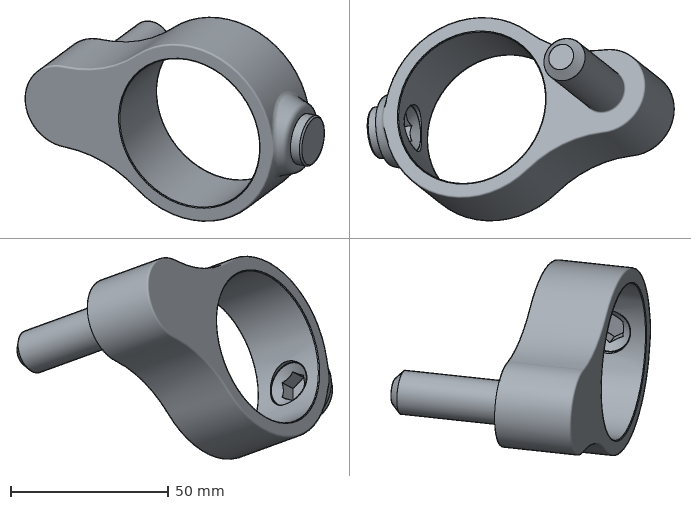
import cadquery as cq
import math


width = 25.5
ring_radius = 60.0 / 2
bore_radius = 25.1
lobe_radius = 14.0
lobe_x = -45.3
flank_straight = 0.8
edge_round = 0.6
bore_chamfer = 0.3

peg_radius = 14.1 / 2
peg_length = 37.0
peg_chamfer = 2.8
peg_root_round = 0.6

boss_face_x = 33.9
boss_face_radius = 11.0
boss_taper = 20.0
boss_start_x = 26.2
boss_face_round = 1.9
boss_root_round = 1.7

head_radius = 8.2
shank_radius = 7.5
screw_tip_x = 37.7
screw_inner_x = 25.4
head_chamfer = 0.6
socket_flats = 8.7
socket_depth = 7.3
countersink_radius = 7.3
countersink_half_angle = 50.0

half_width = width / 2
select_margin = 0.1


def arm_outline(start_y):
    """Closed outline in the XZ plane, with flanks tangent to the lobe and the ring."""
    flank_x = lobe_x + flank_straight
    flank_radius = (flank_x**2 + lobe_radius**2 - ring_radius**2) / (2 * (ring_radius - lobe_radius))
    centre_z = lobe_radius + flank_radius
    reach = ring_radius + flank_radius
    join_x = flank_x * ring_radius / reach
    join_z = centre_z * ring_radius / reach
    half_angle = math.atan2(-flank_x, centre_z) / 2
    mid_x = flank_x + flank_radius * math.sin(half_angle)
    mid_z = centre_z - flank_radius * math.cos(half_angle)
    return (
        cq.Workplane("XZ", origin=(0, start_y, 0))
        .moveTo(lobe_x, lobe_radius)
        .lineTo(flank_x, lobe_radius)
        .threePointArc((mid_x, mid_z), (join_x, join_z))
        .threePointArc((ring_radius, 0), (join_x, -join_z))
        .threePointArc((mid_x, -mid_z), (flank_x, -lobe_radius))
        .lineTo(lobe_x, -lobe_radius)
        .threePointArc((lobe_x - lobe_radius, 0), (lobe_x, lobe_radius))
        .close()
    )


def make_boss():
    """Truncated cone that narrows toward its outer face."""
    start_radius = boss_face_radius + (boss_face_x - boss_start_x) * math.tan(math.radians(boss_taper))
    cone = (
        cq.Workplane("XY")
        .moveTo(boss_start_x, 0)
        .lineTo(boss_start_x, start_radius)
        .lineTo(boss_face_x, boss_face_radius)
        .lineTo(boss_face_x, 0)
        .close()
        .revolve(360, (0, 0, 0), (1, 0, 0))
    )
    return cone.faces(">X").edges().fillet(boss_face_round)


def make_plate():
    """Arm plate with the boss blended into the ring and both face outlines rounded."""
    plate = arm_outline(width).extrude(2 * width).union(make_boss())
    boss_root = cq.selectors.BoxSelector(
        (boss_start_x, -half_width, -ring_radius / 2),
        (ring_radius + boss_root_round, half_width, ring_radius / 2),
        boundingbox=True,
    )
    plate = plate.edges(boss_root).fillet(boss_root_round)
    slab = cq.Workplane("XY").box(6 * ring_radius, width, 4 * ring_radius)
    plate = plate.intersect(slab)
    return plate.faces("<Y or >Y").edges().fillet(edge_round)


def make_peg():
    """Peg along +Y with a chamfered tip."""
    peg = cq.Workplane("XZ", origin=(lobe_x, half_width, 0)).circle(peg_radius).extrude(-peg_length)
    return peg.faces(">Y").chamfer(peg_chamfer)


def make_arm():
    """Complete arm with its peg, bore and screw hole."""
    arm = make_plate().union(make_peg())
    reach = peg_radius + select_margin
    peg_root = cq.selectors.BoxSelector(
        (lobe_x - reach, half_width - select_margin, -reach),
        (lobe_x + reach, half_width + select_margin, reach),
        boundingbox=True,
    )
    arm = arm.edges(peg_root).fillet(peg_root_round)
    return arm.cut(make_bore()).cut(make_screw_hole())


def make_bore():
    """Bore cutter, flared at both ends to chamfer the bore rims."""
    rim_radius = bore_radius + bore_chamfer
    return (
        cq.Workplane("XY")
        .moveTo(0, -half_width)
        .lineTo(rim_radius, -half_width)
        .lineTo(bore_radius, bore_chamfer - half_width)
        .lineTo(bore_radius, half_width - bore_chamfer)
        .lineTo(rim_radius, half_width)
        .lineTo(0, half_width)
        .close()
        .revolve(360, (0, 0, 0), (0, 1, 0))
    )


def make_screw_hole():
    """Cutter for the shank hole through the ring wall and the boss."""
    return cq.Workplane("YZ").circle(shank_radius).extrude(screw_tip_x)


def make_screw():
    """Headed screw along +X with a hexagon socket in the end of its shank."""
    shank_length = boss_face_x - screw_inner_x
    shank = cq.Workplane("YZ", origin=(screw_inner_x, 0, 0)).circle(shank_radius).extrude(shank_length)
    head_length = screw_tip_x - boss_face_x
    head = cq.Workplane("YZ", origin=(boss_face_x, 0, 0)).circle(head_radius).extrude(head_length)
    head = head.faces(">X").chamfer(head_chamfer)
    screw = shank.union(head)
    across_corners = socket_flats / math.cos(math.pi / 6)
    socket = (
        cq.Workplane("YZ", origin=(screw_inner_x, 0, 0))
        .transformed(rotate=(0, 0, 90))
        .polygon(6, across_corners)
        .extrude(socket_depth)
    )
    countersink_depth = (countersink_radius - socket_flats / 2) / math.tan(math.radians(countersink_half_angle))
    countersink = cq.Workplane("XY").add(
        cq.Solid.makeCone(
            countersink_radius,
            socket_flats / 2,
            countersink_depth,
            pnt=cq.Vector(screw_inner_x, 0, 0),
            dir=cq.Vector(1, 0, 0),
        )
    )
    return screw.cut(socket).cut(countersink)


arm = make_arm()
screw = make_screw()
result = cq.Compound.makeCompound([arm.val(), screw.val()])